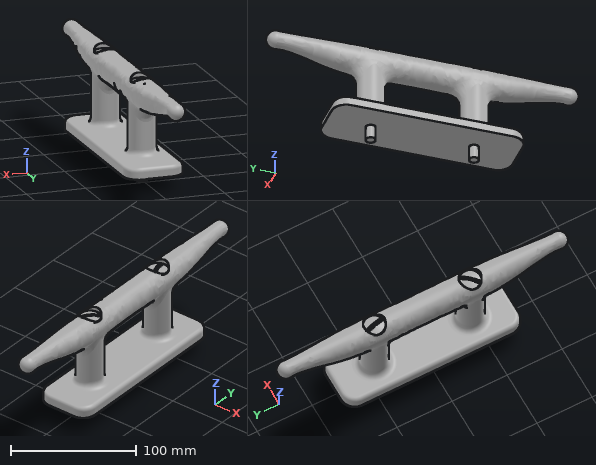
import cadquery as cq

base_width = 49.8
base_length = 161.4
base_thickness = 9.7
base_corner_radius = 12.5
base_edge_radius = 4.0

post_diameter = 23.5
post_spacing = 87.0
post_foot_fillet = 6.3
post_head_fillet = 11.0
post_positions = (-post_spacing / 2, post_spacing / 2)
height_margin = 0.3

overall_length = 263.2
bar_top = 75.0
bar_diameter = 25.5
bar_diameter_at_posts = 26.0
mid_arm_diameter = 21.5
tip_diameter = 15.3
bar_axis_height = bar_top - bar_diameter / 2
tip_radius = tip_diameter / 2
tip_center_height = bar_top - tip_radius
taper_end = overall_length / 2 - tip_radius
mid_arm = (post_spacing / 2 + taper_end) / 2

shank_diameter = 8.0
shank_projection = 12.0
head_diameter = 18.5
head_crown_depth = 2.5
head_rise = 1.8
head_thickness = 7.0
slot_width = 2.0
slot_depth = 1.5
slot_angles = (47, 105)
head_crown = bar_top - head_crown_depth
head_rim = head_crown - head_rise
head_seat = head_crown - head_thickness


def make_base():
    return (
        cq.Workplane("XY")
        .rect(base_width, base_length)
        .extrude(base_thickness)
        .edges("|Z")
        .fillet(base_corner_radius)
        .faces(">Z")
        .edges()
        .fillet(base_edge_radius)
    )


def make_tip():
    """Ball-shaped tip on the +Y end, a quarter-disc profile turned about the Y direction."""
    return (
        cq.Workplane("XY", origin=(0, taper_end, tip_center_height))
        .moveTo(0, 0)
        .lineTo(tip_radius, 0)
        .radiusArc((0, tip_radius), -tip_radius)
        .close()
        .revolve(360, (0, 0), (0, 1))
    )


def make_bar():
    """Smooth loft through circles whose tops all lie at the same height."""
    section_diameters = (
        (-taper_end, tip_diameter),
        (-mid_arm, mid_arm_diameter),
        (-post_spacing / 2, bar_diameter_at_posts),
        (0, bar_diameter),
        (post_spacing / 2, bar_diameter_at_posts),
        (mid_arm, mid_arm_diameter),
        (taper_end, tip_diameter),
    )
    along_bar = cq.Vector(0, 1, 0)
    sections = []
    for y, diameter in section_diameters:
        center = cq.Vector(0, y, bar_top - diameter / 2)
        circle = cq.Wire.makeCircle(diameter / 2, center, along_bar)
        sections.append(circle)
    shaft = cq.Workplane(cq.Solid.makeLoft(sections))
    tip = make_tip()
    return shaft.union(tip).union(tip.mirror("XZ"))


def make_posts():
    return (
        cq.Workplane("XY", origin=(0, 0, base_thickness))
        .pushPoints([(0, y) for y in post_positions])
        .circle(post_diameter / 2)
        .extrude(bar_axis_height - base_thickness)
    )


def cut_screw_holes(body):
    for y in post_positions:
        shank_hole = cq.Workplane("XY", origin=(0, y, 0)).circle(shank_diameter / 2).extrude(head_seat)
        head_recess = (
            cq.Workplane("XY", origin=(0, y, head_seat))
            .circle(head_diameter / 2)
            .extrude(bar_top - head_seat)
        )
        body = body.cut(shank_hole).cut(head_recess)
    return body


def edges_joining_posts(body, low, high):
    """Curved edges around the posts that lie between two heights."""
    reach = post_diameter
    edges = []
    for y in post_positions:
        for edge in body.edges().vals():
            box = edge.BoundingBox()
            near_post = abs(box.ymin - y) < reach and abs(box.ymax - y) < reach
            if near_post and low <= box.zmin and box.zmax <= high and edge.geomType() != "LINE":
                edges.append(edge)
    return edges


def make_cleat():
    posts_and_bar = make_bar().union(make_posts())
    bar_bottom = bar_top - bar_diameter_at_posts
    head_edges = edges_joining_posts(posts_and_bar, bar_bottom - height_margin, bar_axis_height)
    posts_and_bar = posts_and_bar.newObject(head_edges).fillet(post_head_fillet)
    body = make_base().union(posts_and_bar)
    foot_edges = edges_joining_posts(body, base_thickness - height_margin, base_thickness + height_margin)
    body = body.newObject(foot_edges).fillet(post_foot_fillet)
    return cut_screw_holes(body)


def make_screw(y, slot_angle):
    head_radius = head_diameter / 2
    shank_radius = shank_diameter / 2
    crown_radius = (head_radius**2 + head_rise**2) / (2 * head_rise)
    half_profile = (
        cq.Workplane("XZ")
        .moveTo(0, -shank_projection)
        .lineTo(shank_radius, -shank_projection)
        .lineTo(shank_radius, head_seat)
        .lineTo(head_radius, head_seat)
        .lineTo(head_radius, head_rim)
        .radiusArc((0, head_crown), -crown_radius)
        .close()
    )
    blank = half_profile.revolve(360, (0, 0), (0, 1))
    slot = (
        cq.Workplane("XY", origin=(0, 0, head_crown - slot_depth))
        .rect(head_diameter, slot_width)
        .extrude(slot_depth)
        .rotate((0, 0, 0), (0, 0, 1), slot_angle)
    )
    return blank.cut(slot).translate((0, y, 0))


cleat = make_cleat()
screws = [make_screw(y, angle) for y, angle in zip(post_positions, slot_angles)]

result = cq.Compound.makeCompound([cleat.val(), *[screw.val() for screw in screws]])